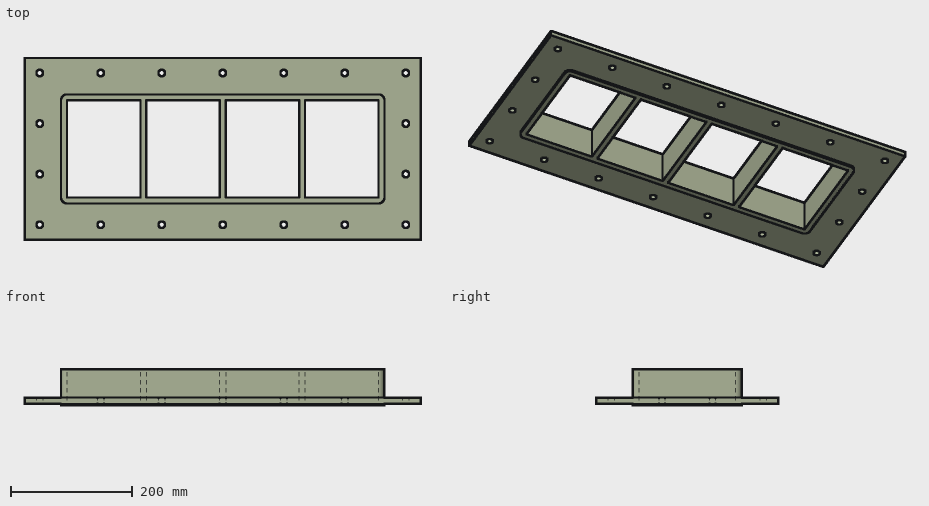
import cadquery as cq

plate_length = 652.0
plate_width = 299.5
plate_thickness = 10.0

frame_height = 60.0
frame_below_plate = 3.0
flange_overhang = 60.0
wall = 10.0
frame_corner_radius = 10.0
frame_length = plate_length - 2 * flange_overhang
frame_width = plate_width - 2 * flange_overhang

opening_count = 4
opening_length = (frame_length - (opening_count + 1) * wall) / opening_count
opening_width = frame_width - 2 * wall
opening_pitch = opening_length + wall

hole_diameter = 10.5
hole_edge_distance = 25.0
holes_along_length = 7
holes_along_width = 4
hole_pitch_x = (plate_length - 2 * hole_edge_distance) / (holes_along_length - 1)
hole_pitch_y = (plate_width - 2 * hole_edge_distance) / (holes_along_width - 1)


def make_plate():
    """Flange plate, raised so that the frame bottom lies at Z = 0."""
    return (
        cq.Workplane("XY")
        .workplane(offset=frame_below_plate)
        .rect(plate_length, plate_width)
        .extrude(plate_thickness)
    )


def make_frame_block():
    """Solid block with rounded vertical corners, before the openings are cut."""
    return (
        cq.Workplane("XY")
        .rect(frame_length, frame_width)
        .extrude(frame_height)
        .edges("|Z")
        .fillet(frame_corner_radius)
    )


def make_openings():
    """Cutters for the square-cornered openings through the full height."""
    return (
        cq.Workplane("XY")
        .rarray(opening_pitch, 1, opening_count, 1)
        .rect(opening_length, opening_width)
        .extrude(frame_height)
    )


def bolt_hole_centers():
    """Grid positions that lie on the border of the bolt pattern."""
    centers = []
    for column in range(holes_along_length):
        for row in range(holes_along_width):
            on_end_column = column in (0, holes_along_length - 1)
            on_side_row = row in (0, holes_along_width - 1)
            if on_end_column or on_side_row:
                x = -plate_length / 2 + hole_edge_distance + column * hole_pitch_x
                y = -plate_width / 2 + hole_edge_distance + row * hole_pitch_y
                centers.append((x, y))
    return centers


def make_bolt_holes():
    """Cutters for the through holes in the flange."""
    return (
        cq.Workplane("XY")
        .pushPoints(bolt_hole_centers())
        .circle(hole_diameter / 2)
        .extrude(frame_height)
    )


result = make_plate().union(make_frame_block()).cut(make_openings()).cut(make_bolt_holes())